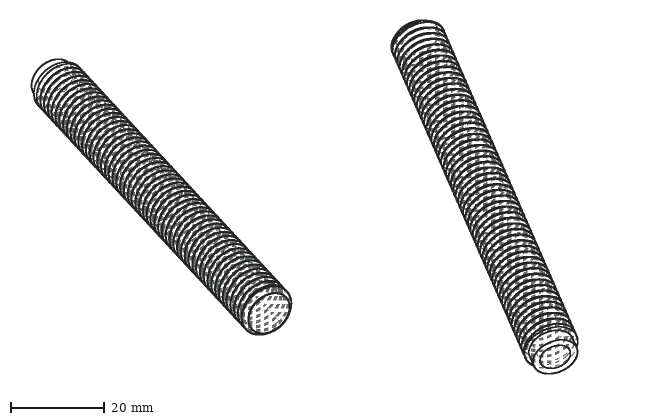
import cadquery as cq
import math

LENGTH = 100.0
MAJOR_RADIUS = 6.0

NOSE_RADIUS = 5.0
NOSE_LENGTH = 3.0
BORE_RADIUS = 3.4
BORE_DEPTH = 15.0
DRILL_POINT_ANGLE = math.radians(118)
DRILL_POINT_LENGTH = BORE_RADIUS / math.tan(DRILL_POINT_ANGLE / 2)

TIP_RADIUS = 5.0
TIP_LENGTH = 0.2
CHAMFER = MAJOR_RADIUS - TIP_RADIUS
CHAMFER_END = LENGTH - TIP_LENGTH
STUD_END = CHAMFER_END - CHAMFER

GROOVE_TURNS = 54.5
GROOVE_TRAVEL = 95.4
PITCH = GROOVE_TRAVEL / GROOVE_TURNS
FLANK_ANGLE = math.radians(30)
GROOVE_DEPTH = 5 / 8 * PITCH * math.cos(FLANK_ANGLE)
MINOR_RADIUS = MAJOR_RADIUS - GROOVE_DEPTH
ROOT_HALF_WIDTH = PITCH / 8
CREST_HALF_WIDTH = ROOT_HALF_WIDTH + GROOVE_DEPTH * math.tan(FLANK_ANGLE)
GROOVE_START = NOSE_LENGTH + CREST_HALF_WIDTH
CUTTER_OVERLAP = 0.1


def revolve_about_x(outline):
    """Turn an outline of (x, radius) points about the X axis."""
    return cq.Workplane("XY").polyline(outline).close().revolve(360, (0, 0, 0), (1, 0, 0))


def make_groove_cutter():
    """Helical trapezoid that starts at the bottom (-Z) of the stud and advances along +X."""
    outer_radius = MAJOR_RADIUS + CUTTER_OVERLAP
    outer_half_width = CREST_HALF_WIDTH + CUTTER_OVERLAP * math.tan(FLANK_ANGLE)
    corners = [
        (MINOR_RADIUS, -ROOT_HALF_WIDTH),
        (outer_radius, -outer_half_width),
        (outer_radius, outer_half_width),
        (MINOR_RADIUS, ROOT_HALF_WIDTH),
    ]
    rails = [
        cq.Wire.makeHelix(PITCH, GROOVE_TRAVEL, radius, cq.Vector(0, 0, offset))
        for radius, offset in corners
    ]
    faces = [cq.Face.makeRuledSurface(rails[i - 1], rails[i]) for i in range(len(rails))]
    for rail_end in (0, 1):
        end_points = [rail.positionAt(rail_end) for rail in rails]
        faces.append(cq.Face.makeFromWires(cq.Wire.makePolygon(end_points, close=True)))
    cutter = cq.Workplane(cq.Solid.makeSolid(cq.Shell.makeShell(faces)))
    return cutter.rotate((0, 0, 0), (0, 1, 0), 90).translate((GROOVE_START, 0, 0))


def make_stud():
    """Threaded stud with a plain nose and a blind drilled hole."""
    blank = revolve_about_x([
        (0, BORE_RADIUS),
        (0, NOSE_RADIUS),
        (NOSE_LENGTH, NOSE_RADIUS),
        (NOSE_LENGTH, MAJOR_RADIUS),
        (STUD_END, MAJOR_RADIUS),
        (STUD_END, 0),
        (BORE_DEPTH + DRILL_POINT_LENGTH, 0),
        (BORE_DEPTH, BORE_RADIUS),
    ])
    return blank.cut(make_groove_cutter())


def make_end_cap():
    """Unthreaded cap on the far end of the stud."""
    return revolve_about_x([
        (STUD_END, 0),
        (STUD_END, MAJOR_RADIUS),
        (CHAMFER_END, TIP_RADIUS),
        (LENGTH, TIP_RADIUS),
        (LENGTH, 0),
    ])


stud = make_stud()
end_cap = make_end_cap()

result = cq.Compound.makeCompound([stud.val(), end_cap.val()])